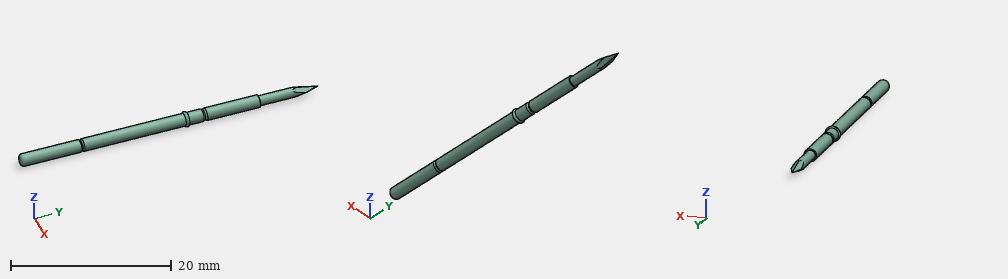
import cadquery as cq
import math

total_length = 40.0
tip_y = total_length / 2
tail_y = -total_length / 2

barrel_radius = 0.825
needle_radius = 0.65
bead_radius = 1.0
tail_round = 0.45

needle_length = 8.0
front_groove_from_tip = 15.35
bead_from_tip = 17.75
rear_groove_from_tip = 31.8

groove_depth = 0.15
front_groove_width = 0.5
rear_groove_width = 0.4
bead_section_radius = 0.25

side_ridge_length = 1.8
top_ridge_length = 3.0


def y_from_tip(distance):
    return tip_y - distance


def revolve_about_pin_axis(profile):
    """Revolve an XY profile (X is the radius) about the Y axis."""
    return profile.revolve(360, (0, 0, 0), (0, 1, 0))


def make_barrel():
    shoulder_y = y_from_tip(needle_length)
    corner = tail_round * math.sqrt(0.5)
    profile = (
        cq.Workplane("XY")
        .moveTo(0, tail_y)
        .lineTo(barrel_radius - tail_round, tail_y)
        .threePointArc(
            (barrel_radius - tail_round + corner, tail_y + tail_round - corner),
            (barrel_radius, tail_y + tail_round),
        )
        .lineTo(barrel_radius, shoulder_y)
        .lineTo(0, shoulder_y)
        .close()
    )
    return revolve_about_pin_axis(profile)


def make_needle():
    """Round needle brought to a point by four flat faces meeting in ridges at +-X and +-Z."""
    rod_start = y_from_tip(needle_length)
    rod = (
        cq.Workplane("XZ", origin=(0, rod_start, 0))
        .circle(needle_radius)
        .extrude(-needle_length)
    )
    half_width = needle_radius * needle_length / side_ridge_length
    half_height = needle_radius * needle_length / top_ridge_length
    base_corners = [(half_width, 0), (0, half_height), (-half_width, 0), (0, -half_height)]
    base = [cq.Vector(x, rod_start, z) for x, z in base_corners]
    apex = cq.Vector(0, tip_y, 0)
    faces = [cq.Face.makeFromWires(cq.Wire.makePolygon(base, close=True))]
    for index, corner in enumerate(base):
        next_corner = base[(index + 1) % len(base)]
        outline = cq.Wire.makePolygon([corner, next_corner, apex], close=True)
        faces.append(cq.Face.makeFromWires(outline))
    pyramid = cq.Solid.makeSolid(cq.Shell.makeShell(faces))
    return rod.intersect(cq.Workplane(pyramid))


def make_bead():
    """Half-round ring standing on the barrel."""
    bead_y = y_from_tip(bead_from_tip)
    round_start = bead_radius - bead_section_radius
    profile = (
        cq.Workplane("XY")
        .moveTo(0, bead_y - bead_section_radius)
        .lineTo(round_start, bead_y - bead_section_radius)
        .threePointArc((bead_radius, bead_y), (round_start, bead_y + bead_section_radius))
        .lineTo(0, bead_y + bead_section_radius)
        .close()
    )
    return revolve_about_pin_axis(profile)


def make_groove(center_from_tip, width):
    """Ring that cuts a shallow V groove into the barrel."""
    center_y = y_from_tip(center_from_tip)
    profile = (
        cq.Workplane("XY")
        .moveTo(barrel_radius, center_y - width / 2)
        .lineTo(barrel_radius - groove_depth, center_y)
        .lineTo(barrel_radius, center_y + width / 2)
        .lineTo(bead_radius, center_y + width / 2)
        .lineTo(bead_radius, center_y - width / 2)
        .close()
    )
    return revolve_about_pin_axis(profile)


result = make_barrel().union(make_needle()).union(make_bead())
result = result.cut(make_groove(front_groove_from_tip, front_groove_width))
result = result.cut(make_groove(rear_groove_from_tip, rear_groove_width))